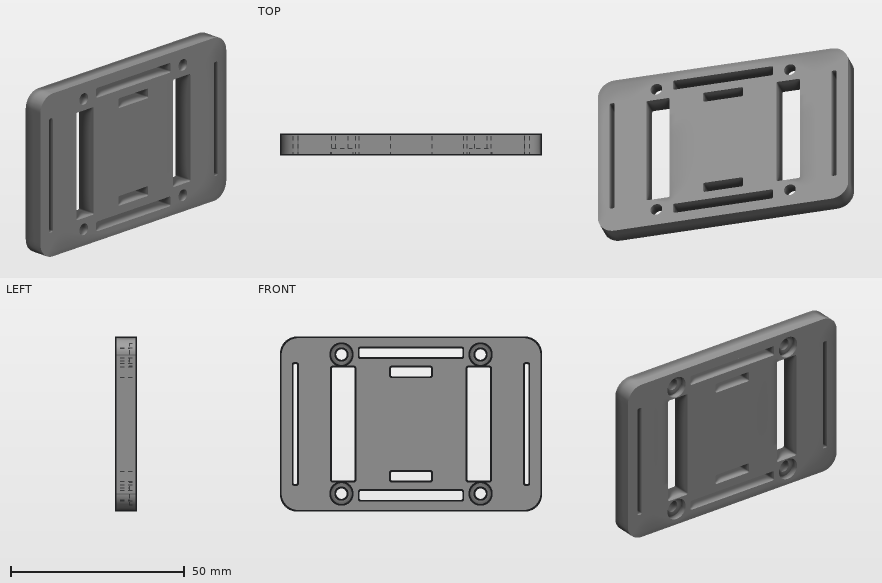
import cadquery as cq

plate_length = 75.0
plate_thickness = 6.0
plate_height = 50.0
plate_corner_radius = 5.0

screw_spacing = 40.0
screw_diameter = 3.5
counterbore_diameter = 6.5
counterbore_depth = 2.0

opening_corner_radius = 0.5

window_width = 7.0
window_height = 33.0
window_offset = 19.5

strap_slot_width = 1.5
strap_slot_height = 35.0
strap_slot_offset = 33.25

long_slot_width = 30.0
long_slot_height = 3.0
long_slot_offset = 20.5

short_slot_width = 12.0
short_slot_height = 3.0
short_slot_offset = 15.0

front_y = -plate_thickness / 2


def rounded_block(width, height, corner_radius):
    """Block through the full plate thickness with its Y-direction edges rounded."""
    return cq.Workplane("XY").box(width, plate_thickness, height).edges("|Y").fillet(corner_radius)


def cylinder_from_front(diameter, depth):
    """Cylinder running from the front face into the plate, centred on the Y axis."""
    front_plane = cq.Workplane("XZ", origin=(0, front_y, 0))
    return front_plane.circle(diameter / 2).extrude(-depth)


def counterbored_hole():
    """Screw hole through the plate with a counterbore in the front face."""
    through_hole = cylinder_from_front(screw_diameter, plate_thickness)
    return through_hole.union(cylinder_from_front(counterbore_diameter, counterbore_depth))


window = rounded_block(window_width, window_height, opening_corner_radius)
strap_slot = rounded_block(strap_slot_width, strap_slot_height, opening_corner_radius)
long_slot = rounded_block(long_slot_width, long_slot_height, opening_corner_radius)
short_slot = rounded_block(short_slot_width, short_slot_height, opening_corner_radius)
screw_hole = counterbored_hole()

result = rounded_block(plate_length, plate_height, plate_corner_radius)

for side in (-1, 1):
    result = result.cut(window.translate((side * window_offset, 0, 0)))
    result = result.cut(strap_slot.translate((side * strap_slot_offset, 0, 0)))

    result = result.cut(long_slot.translate((0, 0, side * long_slot_offset)))
    result = result.cut(short_slot.translate((0, 0, side * short_slot_offset)))

    for level in (-1, 1):
        screw_position = (side * screw_spacing / 2, 0, level * screw_spacing / 2)
        result = result.cut(screw_hole.translate(screw_position))